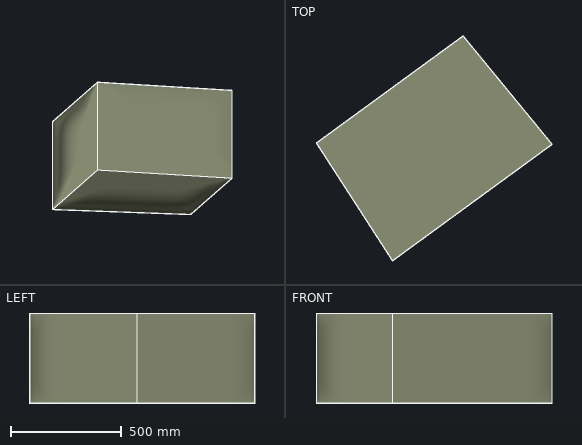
import cadquery as cq
import math

LONG_SIDE = 894.2
END_LENGTH = 635.0
END_TAPER = 3.25
HEIGHT = 406.4
TURN_ANGLE = 36.13

end_inset = END_LENGTH * math.sin(math.radians(END_TAPER))
depth = END_LENGTH * math.cos(math.radians(END_TAPER))
half_long = LONG_SIDE / 2
half_short = half_long - end_inset

outline = [
    (-half_long, -depth / 2),
    (half_long, -depth / 2),
    (half_short, depth / 2),
    (-half_short, depth / 2),
]


def make_block():
    """Trapezoidal block standing on the XY plane, turned about the vertical axis."""
    block = cq.Workplane("XY").polyline(outline).close().extrude(HEIGHT)
    return block.rotate((0, 0, 0), (0, 0, 1), TURN_ANGLE)


result = make_block()